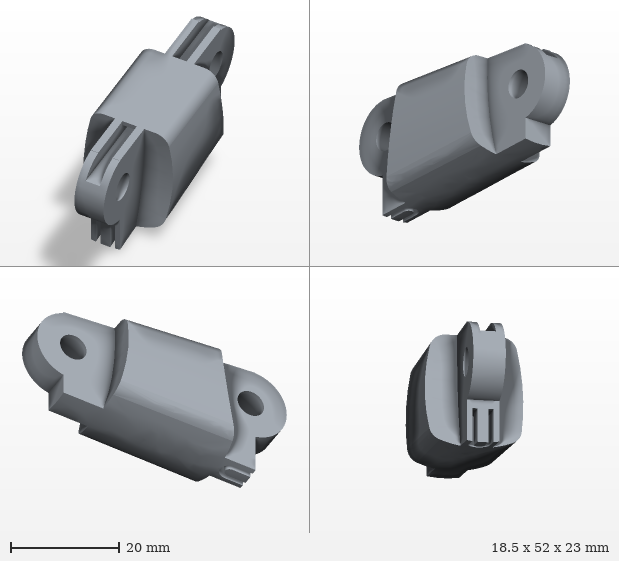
import cadquery as cq
import math

PIN_SPACING = 36.95
LUG_RADIUS = 7.5
LUG_THICKNESS = 6.1
PIN_HOLE_DIAMETER = 5.5
TOP_Z = LUG_RADIUS

BLOCK_FRONT_Y = -19.45
BLOCK_BACK_Y = 20.5
BOTTOM_FRONT_Z = -15.48
BOTTOM_BACK_Z = -11.58

TOP_CORNER_X = 7.6
BOTTOM_CORNER_FRONT_X = 8.45
BOTTOM_CORNER_BACK_X = 8.1
SIDE_BULGE_FRONT = 1.35
SIDE_BULGE_BACK = 0.9
BOTTOM_DOME_RADIUS = 18.3
CORNER_RADIUS = 3.0

WAIST_HALF_LENGTH = 9.78
WAIST_Z = 4.5
FLARE_RADIUS = 57.0

STRAP_WIDTH = 3.0
STRAP_FLOOR_Z = 4.5
TUNNEL_HEIGHT = 2.0

TONGUE_WIDTH = 2.0
GROOVE_WIDTH = 1.0
GROOVE_TOP_Z = -9.05
GROOVE_STRAIGHT_DEPTH = 3.75


def body_section(y, bottom_z, bottom_corner_x, side_bulge):
    """Sharp-cornered XZ section at the given Y, with bulged sides and a domed bottom."""
    dome_height = BOTTOM_DOME_RADIUS - math.sqrt(BOTTOM_DOME_RADIUS**2 - bottom_corner_x**2)
    bottom_corner_z = bottom_z + dome_height
    side_x = (TOP_CORNER_X + bottom_corner_x) / 2 + side_bulge
    side_z = (TOP_Z + bottom_corner_z) / 2
    return (
        cq.Workplane("XZ", origin=(0, y, 0))
        .moveTo(-TOP_CORNER_X, TOP_Z)
        .lineTo(TOP_CORNER_X, TOP_Z)
        .threePointArc((side_x, side_z), (bottom_corner_x, bottom_corner_z))
        .threePointArc((0, bottom_z), (-bottom_corner_x, bottom_corner_z))
        .threePointArc((-side_x, side_z), (-TOP_CORNER_X, TOP_Z))
        .close()
        .val()
    )


def long_body():
    """Bulging body over the full block length, with its four long edges rounded."""
    front = body_section(BLOCK_FRONT_Y, BOTTOM_FRONT_Z, BOTTOM_CORNER_FRONT_X, SIDE_BULGE_FRONT)
    back = body_section(BLOCK_BACK_Y, BOTTOM_BACK_Z, BOTTOM_CORNER_BACK_X, SIDE_BULGE_BACK)
    body = cq.Workplane(obj=cq.Solid.makeLoft([front, back], True))
    return body.edges("not(#Y or <Y or >Y)").fillet(CORNER_RADIUS)


def flare_y(z):
    """Half-length of the body at height Z."""
    return WAIST_HALF_LENGTH + FLARE_RADIUS - math.sqrt(FLARE_RADIUS**2 - (z - WAIST_Z) ** 2)


def flared_envelope():
    """YZ outline between the two flared end faces, extruded across the whole body width."""
    half_width = 2 * TOP_CORNER_X
    top_y = flare_y(TOP_Z)
    bottom_y = flare_y(BOTTOM_FRONT_Z)
    middle_z = (TOP_Z + BOTTOM_FRONT_Z) / 2
    middle_y = flare_y(middle_z)
    return (
        cq.Workplane("YZ", origin=(-half_width, 0, 0))
        .moveTo(-top_y, TOP_Z)
        .lineTo(top_y, TOP_Z)
        .threePointArc((middle_y, middle_z), (bottom_y, BOTTOM_FRONT_Z))
        .lineTo(-bottom_y, BOTTOM_FRONT_Z)
        .threePointArc((-middle_y, middle_z), (-top_y, TOP_Z))
        .close()
        .extrude(2 * half_width)
    )


def box_between(width, y_range, z_range):
    """Box centred on X = 0 between two Y values and two Z values."""
    length = y_range[1] - y_range[0]
    height = z_range[1] - z_range[0]
    box = cq.Workplane("XY").box(width, length, height, centered=(True, False, False))
    return box.translate((0, y_range[0], z_range[0]))


def pin_cylinders(radius):
    """Cylinders along X on both pin axes, as long as the lug is thick."""
    return (
        cq.Workplane("YZ", origin=(-LUG_THICKNESS / 2, 0, 0))
        .pushPoints([(-PIN_SPACING / 2, 0), (PIN_SPACING / 2, 0)])
        .circle(radius)
        .extrude(LUG_THICKNESS)
    )


def strap_passage():
    """Open slots above both lugs joined by a tunnel under the top of the body."""
    end_y = PIN_SPACING / 2 + LUG_RADIUS
    slots = box_between(STRAP_WIDTH, (-end_y, end_y), (STRAP_FLOOR_Z, TOP_Z))
    tunnel_top_z = STRAP_FLOOR_Z + TUNNEL_HEIGHT
    bridge_y = flare_y(TOP_Z)
    bridge = box_between(STRAP_WIDTH, (-bridge_y, bridge_y), (tunnel_top_z, TOP_Z))
    return slots.cut(bridge)


def round_ended_bar(width):
    """Vertical bar running in from the front of the block, with a round inner end."""
    height = GROOVE_TOP_Z - BOTTOM_FRONT_Z
    inner_y = BLOCK_FRONT_Y + GROOVE_STRAIGHT_DEPTH
    bar = box_between(width, (BLOCK_FRONT_Y, inner_y), (BOTTOM_FRONT_Z, GROOVE_TOP_Z))
    end = cq.Workplane("XY", origin=(0, inner_y, BOTTOM_FRONT_Z)).circle(width / 2).extrude(height)
    return bar.union(end)


def tongue_groove():
    """U-shaped groove around the tongue."""
    return round_ended_bar(TONGUE_WIDTH + 2 * GROOVE_WIDTH).cut(round_ended_bar(TONGUE_WIDTH))


lug_slab = box_between(LUG_THICKNESS, (BLOCK_FRONT_Y, BLOCK_BACK_Y), (BOTTOM_FRONT_Z, TOP_Z))
full_body = long_body()
body = full_body.intersect(flared_envelope())
block = full_body.intersect(lug_slab)

result = (
    body.union(block)
    .union(pin_cylinders(LUG_RADIUS))
    .cut(pin_cylinders(PIN_HOLE_DIAMETER / 2))
    .cut(strap_passage())
    .cut(tongue_groove())
)